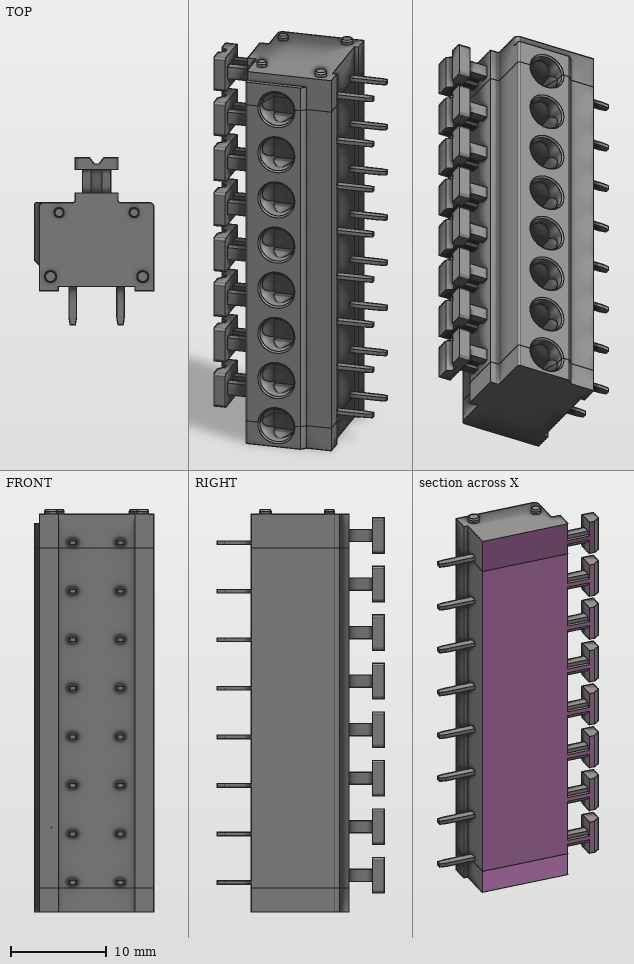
import cadquery as cq


pitch = 5.08
pole_count = 8
end_wall = 1.0
height = pole_count * pitch + end_wall
lower_split = pitch / 2
upper_split = lower_split + (pole_count - 1) * pitch

width = 12.0
centre_x = width / 2
shoulder_y = 9.25
shoulder_radius = 0.5
ridge_width = 4.5
ridge_y = 10.25
ridge_root_radius = 0.25
foot_width = 2.0
foot_height = 0.45

strip_thickness = 0.5
strip_height = pole_count * pitch
strip_low_y = 2.7
strip_radius = 0.25

entry_y = 5.85
entry_z = 2.37
entry_diameter = 3.7
entry_chamfer = 0.17
entry_depth = 3.1
taper_start = 1.1
ramp_start = 1.2
ramp_end = 2.4
floor_width = 2.4
floor_top = 0.53
floor_bottom = -1.55

lever_z = 3.85
head_width = ridge_width
head_height = 3.75
head_inner_y = 12.7
head_outer_y = 13.95
head_radius = 0.25
notch_mouth = 1.5
notch_floor = 0.5
notch_depth = 0.65
stem_width = 3.0
stem_height = 1.3
groove_width = 1.15
groove_depth = 0.4

pin_z = 3.1
pin_xs = (3.5, 8.5)
pin_width = 0.8
pin_thickness = 0.4
pin_tip_width = 0.55
pin_taper_y = -2.8
pin_tip_y = -3.55

peg_height = 0.5
peg_chamfer_height = 0.2
peg_chamfer_inset = 0.1
upper_peg_diameter = 1.05
upper_peg_spacing = 7.85
upper_peg_y = 8.2
lower_peg_diameter = 1.25
lower_peg_spacing = 9.65
lower_peg_y = 1.5


def box(x, y, z):
    """Box spanning the given (low, high) ranges."""
    size = (x[1] - x[0], y[1] - y[0], z[1] - z[0])
    return cq.Workplane("XY").box(*size, centered=False).translate((x[0], y[0], z[0]))


def centred(middle, size):
    """(low, high) range of a size about its middle."""
    return (middle - size / 2, middle + size / 2)


def make_block():
    block = box((0, width), (0, shoulder_y), (0, height))
    block = block.edges("|Z and >Y").fillet(shoulder_radius)
    ridge = box(centred(centre_x, ridge_width), (0, ridge_y), (0, height))
    block = block.union(ridge)
    for side in centred(centre_x, ridge_width):
        root = cq.selectors.NearestToPointSelector((side, shoulder_y, height / 2))
        block = block.edges(root).fillet(ridge_root_radius)
    recess = box((foot_width, width - foot_width), (0, foot_height), (0, height))
    return block.cut(recess)


def make_strip():
    """Strip with a 45 degree low edge; it reaches inside the block past the rounded shoulder."""
    outline = [
        (-strip_thickness, strip_low_y + strip_thickness),
        (0, strip_low_y),
        (shoulder_radius, strip_low_y),
        (shoulder_radius, shoulder_y),
        (-strip_thickness, shoulder_y),
    ]
    strip = cq.Workplane("XY").polyline(outline).close().extrude(strip_height)
    return strip.edges("|Z and <X and >Y").fillet(strip_radius)


def mouth_offset(floor_offset, start, end):
    """Offset at the mouth of a wall that meets the bore at depth start and the floor offset at depth end."""
    slope = (entry_diameter / 2 - floor_offset) / (end - start)
    return floor_offset + slope * end


def make_entry():
    """Chamfered bore that narrows between sloping walls to a rectangular floor."""
    mouth_x = -strip_thickness
    floor_x = mouth_x + entry_depth
    radius = entry_diameter / 2
    face = cq.Workplane("YZ", origin=(mouth_x, entry_y, entry_z))
    bore = face.circle(radius).extrude(entry_depth)
    bevel = face.circle(radius + entry_chamfer).workplane(offset=entry_chamfer).circle(radius).loft()

    mouth_half = mouth_offset(floor_width / 2, taper_start, entry_depth)
    side_walls_outline = [
        (mouth_x, entry_y - mouth_half),
        (floor_x, entry_y - floor_width / 2),
        (floor_x, entry_y + floor_width / 2),
        (mouth_x, entry_y + mouth_half),
    ]
    side_walls = cq.Workplane("XY").polyline(side_walls_outline).close().extrude(2 * pitch, both=True)

    roof_and_ramp_outline = [
        (mouth_x, entry_z + mouth_offset(floor_top, taper_start, entry_depth)),
        (mouth_x, entry_z - mouth_offset(-floor_bottom, ramp_start, ramp_end)),
        (mouth_x + ramp_end, entry_z + floor_bottom),
        (floor_x, entry_z + floor_bottom),
        (floor_x, entry_z + floor_top),
    ]
    roof_and_ramp = cq.Workplane("XZ").polyline(roof_and_ramp_outline).close().extrude(width, both=True)
    return bore.intersect(side_walls).intersect(roof_and_ramp).union(bevel)


def make_lever():
    """Lever with an H-section stem and a notched, round-edged head."""
    head_z = centred(lever_z, head_height)
    head = box(centred(centre_x, head_width), (head_inner_y, head_outer_y), head_z)
    head = head.edges("|Y").fillet(head_radius)
    notch_outline = [
        (centre_x - notch_mouth / 2, head_outer_y),
        (centre_x - notch_floor / 2, head_outer_y - notch_depth),
        (centre_x + notch_floor / 2, head_outer_y - notch_depth),
        (centre_x + notch_mouth / 2, head_outer_y),
    ]
    notch = cq.Workplane("XY", origin=(0, 0, head_z[0])).polyline(notch_outline).close().extrude(head_height)
    stem_y = (ridge_y, head_inner_y)
    stem_z = centred(lever_z, stem_height)
    stem = box(centred(centre_x, stem_width), stem_y, stem_z)
    groove_x = centred(centre_x, groove_width)
    stem = stem.cut(box(groove_x, stem_y, (stem_z[0], stem_z[0] + groove_depth)))
    stem = stem.cut(box(groove_x, stem_y, (stem_z[1] - groove_depth, stem_z[1])))
    return head.cut(notch).union(stem)


def make_pin(x):
    outline = [
        (x - pin_width / 2, foot_height),
        (x - pin_width / 2, pin_taper_y),
        (x - pin_tip_width / 2, pin_tip_y),
        (x + pin_tip_width / 2, pin_tip_y),
        (x + pin_width / 2, pin_taper_y),
        (x + pin_width / 2, foot_height),
    ]
    base = cq.Workplane("XY", origin=(0, 0, pin_z - pin_thickness / 2))
    return base.polyline(outline).close().extrude(pin_thickness)


def make_pegs(diameter, spacing, y):
    """Pair of pegs with a steep chamfer round the tip."""
    shoulder = height + peg_height - peg_chamfer_height
    tip_radius = diameter / 2 - peg_chamfer_inset
    places = [(x, y) for x in centred(centre_x, spacing)]
    base = cq.Workplane("XY", origin=(0, 0, height))
    pegs = base.pushPoints(places).circle(diameter / 2).extrude(shoulder - height)
    for place in places:
        tip = cq.Solid.makeCone(diameter / 2, tip_radius, peg_chamfer_height, cq.Vector(*place, shoulder))
        pegs = pegs.union(cq.Workplane(tip))
    return pegs


def make_housing():
    housing = make_block().union(make_strip())
    entry = make_entry()
    for pole in range(pole_count):
        housing = housing.cut(entry.translate((0, 0, pole * pitch)))
    return housing


def slice_of(housing, low, high):
    slab = box((-width, 2 * width), (-width, 2 * width), (low, high))
    return housing.intersect(slab)


def add_contacts(piece, poles):
    """Join the lever and the pin pair of each pole to the piece."""
    lever = make_lever()
    for pole in poles:
        rise = (0, 0, pole * pitch)
        piece = piece.union(lever.translate(rise))
        for x in pin_xs:
            piece = piece.union(make_pin(x).translate(rise))
    return piece


housing = make_housing()

end_piece = slice_of(housing, 0, lower_split)

pole_run = slice_of(housing, lower_split, upper_split)
pole_run = add_contacts(pole_run, range(pole_count - 1))

closing_piece = slice_of(housing, upper_split, height)
closing_piece = add_contacts(closing_piece, [pole_count - 1])
closing_piece = closing_piece.union(make_pegs(upper_peg_diameter, upper_peg_spacing, upper_peg_y))
closing_piece = closing_piece.union(make_pegs(lower_peg_diameter, lower_peg_spacing, lower_peg_y))

result = cq.Compound.makeCompound([end_piece.val(), pole_run.val(), closing_piece.val()])